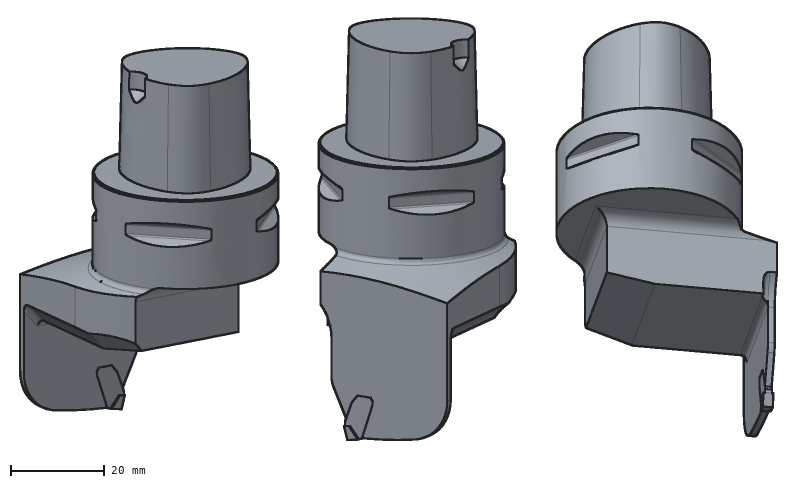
import cadquery as cq
import math


shank_height = 24.0
shank_base_radius = 14.1
shank_top_radius = 13.5
lobe_offset = 0.9
stretch_count = 6
spline_spans = 8

notch_radius = 3.45
notch_y = -13.95
notch_depth = 4.0
notch_tip_height = 3.2

flange_radius = 20.0
flange_height = 20.0
flange_chamfer = 0.3
slot_count = 4
slot_depth = 2.35
slot_floor_width = 2.5
slot_flank_angle = math.radians(30)
slot_fillet = 0.4
slot_z = -8.0

side_x = -26.7
front_y = -25.0
neck_right_x = 10.5
neck_back_y = 6.8
root_radius = 3.0
cone_angle = math.radians(15)
shoulder_z = -20.3
cone_root_radius = 1.3
front_arc_radius = -front_y
front_arc_x = flange_radius - front_arc_radius

underside_front_z = -31.9
underside_mid_y = -22.85
underside_mid_z = -33.85
neck_bottom_y = -20.9
neck_bottom_z = -36.1
underside_tilt = 9.5
underside_turn = 14.0
corner_radius = 1.5

blade_thickness = 1.5
blade_back_y = 4.0
blade_step_top_z = -30.7
blade_step_bottom_z = -37.8
blade_corner_z = -47.6
blade_corner_radius = 10.0
blade_bend_radius = 5.0
blade_tip_y = 0.2
blade_tip_z = -55.6
blade_heel_y = -3.4
blade_heel_z = -59.1
blade_heel_slope = math.radians(11)

insert_head_width = 2.2
insert_bottom_z = -60.0
insert_body_outline = [
    (-2.5, -49.7),
    (-5.8, -49.7),
    (-6.3, -50.5),
    (-6.2, -51.5),
    (-3.6, -59.2),
    (-2.85, -59.5),
    (-0.6, -56.8),
    (0.7, -56.95),
    (0.7, -56.1),
    (-1.1, -51.5),
]
insert_head_outline = [
    (0.7, -56.95),
    (-0.6, -56.8),
    (-2.85, -59.5),
    (-0.2, insert_bottom_z),
]

blade_inner_x = side_x + blade_thickness
margin = 4.2


def lobed_point(radius, angle):
    """Point of a constant-width three-lobed outline where its normal is `angle` from +Y."""
    reach = radius + lobe_offset * math.cos(3 * angle)
    slide = -3 * lobe_offset * math.sin(3 * angle)
    x = -reach * math.sin(angle) - slide * math.cos(angle)
    y = reach * math.cos(angle) - slide * math.sin(angle)
    return x, y


def lobed_wire(radius, z):
    """Closed three-lobed outline at height z, one spline for each stretch."""
    stretch = 2 * math.pi / stretch_count
    edges = []
    for i in range(stretch_count):
        start = stretch * (i + 0.5)
        angles = [start + stretch * j / spline_spans for j in range(spline_spans + 1)]
        points = [cq.Vector(*lobed_point(radius, angle), z) for angle in angles]
        tangents = [cq.Vector(-math.cos(angle), -math.sin(angle), 0) for angle in (angles[0], angles[-1])]
        edges.append(cq.Edge.makeSpline(points, tangents=tangents))
    return cq.Wire.assembleEdges(edges)


def make_shank():
    wires = [lobed_wire(shank_base_radius, 0), lobed_wire(shank_top_radius, shank_height)]
    shank = cq.Workplane(cq.Solid.makeLoft(wires, True))
    floor_z = shank_height - notch_depth
    notch = (
        cq.Workplane("XZ")
        .moveTo(0, shank_height + margin)
        .lineTo(notch_radius, shank_height + margin)
        .lineTo(notch_radius, floor_z)
        .lineTo(0, floor_z - notch_tip_height)
        .close()
        .revolve(360, (0, 0, 0), (0, 1, 0))
        .translate((0, notch_y, 0))
    )
    return shank.cut(notch)


def make_flange():
    flange = cq.Workplane("XY").circle(flange_radius).extrude(-flange_height)
    flange = flange.faces(">Z").chamfer(flange_chamfer)
    half_floor = slot_floor_width / 2
    half_mouth = half_floor + slot_depth * math.tan(slot_flank_angle)
    floor_x = flange_radius - slot_depth
    slot = (
        cq.Workplane("XZ", origin=(0, 0, slot_z))
        .polyline(
            [
                (floor_x, -half_floor),
                (flange_radius, -half_mouth),
                (flange_radius, half_mouth),
                (floor_x, half_floor),
            ]
        )
        .close()
        .extrude(flange_radius, both=True)
        .faces("<X")
        .edges("|Y")
        .fillet(slot_fillet)
    )
    for i in range(slot_count):
        flange = flange.cut(slot.rotate((0, 0, 0), (0, 0, 1), (i + 0.5) * 360 / slot_count))
    return flange


def make_shoulder():
    """Space under the flange bounded above by a cone that is filleted into the flange."""
    arc_x = flange_radius + cone_root_radius
    arc_mid = math.pi + (math.pi / 2 - cone_angle) / 2
    arc_end = math.pi * 1.5 - cone_angle
    mid_point = (
        arc_x + cone_root_radius * math.cos(arc_mid),
        shoulder_z + cone_root_radius * math.sin(arc_mid),
    )
    end_point = (
        arc_x + cone_root_radius * math.cos(arc_end),
        shoulder_z + cone_root_radius * math.sin(arc_end),
    )
    rim_radius = math.hypot(side_x, front_y) + margin
    rim_z = end_point[1] - (rim_radius - end_point[0]) * math.tan(cone_angle)
    return (
        cq.Workplane("XZ")
        .moveTo(0, -flange_height)
        .lineTo(flange_radius, -flange_height)
        .lineTo(flange_radius, shoulder_z)
        .threePointArc(mid_point, end_point)
        .lineTo(rim_radius, rim_z)
        .lineTo(rim_radius, blade_heel_z - margin)
        .lineTo(0, blade_heel_z - margin)
        .close()
        .revolve(360, (0, 0, 0), (0, 1, 0))
    )


def flared_block(plane, near, wall, depth):
    """Block whose far wall flares into the flange underside with a concave radius."""
    bottom_z = neck_bottom_z - margin
    arc_depth = root_radius * (1 - math.sqrt(0.5))
    return (
        cq.Workplane(plane)
        .moveTo(near, -flange_height)
        .lineTo(wall + root_radius, -flange_height)
        .threePointArc(
            (wall + arc_depth, -flange_height - arc_depth),
            (wall, -flange_height - root_radius),
        )
        .lineTo(wall, bottom_z)
        .lineTo(near, bottom_z)
        .close()
        .extrude(depth, both=True)
    )


def make_neck_plan():
    """Outline of the neck from above, rounded by an arc that touches the flange."""
    corner = front_arc_radius * math.sqrt(0.5)
    return (
        cq.Workplane("XY", origin=(0, 0, -flange_height))
        .moveTo(side_x, flange_radius)
        .lineTo(side_x, front_y)
        .lineTo(front_arc_x, front_y)
        .threePointArc((front_arc_x + corner, -corner), (front_arc_x + front_arc_radius, 0))
        .lineTo(flange_radius, flange_radius)
        .close()
        .extrude(blade_heel_z)
    )


def make_undercut():
    """Air under the neck, with the corner radius along the blade."""
    low_z = blade_heel_z - margin
    straight = (
        cq.Workplane("YZ", origin=(blade_inner_x, 0, 0))
        .moveTo(front_y - margin, underside_front_z + margin)
        .lineTo(front_y, underside_front_z)
        .threePointArc((underside_mid_y, underside_mid_z), (neck_bottom_y, neck_bottom_z))
        .lineTo(flange_radius, neck_bottom_z)
        .lineTo(flange_radius, low_z)
        .lineTo(front_y - margin, low_z)
        .close()
        .extrude(2 * flange_radius + margin)
    )
    turned = straight.rotate((0, front_y, 0), (0, front_y, 1), underside_turn)
    tilted = turned.rotate((0, 0, neck_bottom_z), (0, 1, neck_bottom_z), -underside_tilt)
    top_edges = cq.selectors.BoxSelector(
        (blade_inner_x - 0.8, front_y - 2 * margin, neck_bottom_z - 0.8),
        (blade_inner_x + 0.8, 2 * flange_radius, 0),
    )
    return straight.edges(top_edges).fillet(corner_radius).union(tilted)


def make_blade():
    heel_sin = math.sin(blade_heel_slope)
    heel_cos = math.cos(blade_heel_slope)
    corner_end = (
        front_y + blade_corner_radius * (1 - heel_sin),
        blade_corner_z - blade_corner_radius * heel_cos,
    )
    blade = (
        cq.Workplane("YZ", origin=(side_x, 0, 0))
        .moveTo(front_y, underside_front_z)
        .lineTo(front_y, blade_corner_z)
        .tangentArcPoint(corner_end, relative=False)
        .tangentArcPoint((blade_heel_y, blade_heel_z), relative=False)
        .lineTo(blade_tip_y, blade_tip_z)
        .lineTo(blade_back_y, blade_corner_z)
        .lineTo(blade_back_y, underside_front_z)
        .close()
        .extrude(blade_thickness)
    )
    bend = cq.selectors.NearestToPointSelector((side_x, blade_back_y, blade_corner_z))
    return blade.edges("|X").edges(bend).fillet(blade_bend_radius)


def make_blade_step():
    """Air behind the blade, cut into the neck with a rounded inner corner."""
    rise = blade_step_top_z - blade_step_bottom_z
    step_width = neck_back_y - blade_back_y
    arc_radius = (rise**2 + step_width**2) / (2 * step_width)
    half_angle = math.asin(rise / arc_radius) / 2
    arc_mid = (
        blade_back_y + arc_radius * (1 - math.cos(half_angle)),
        blade_step_bottom_z + arc_radius * math.sin(half_angle),
    )
    step = (
        cq.Workplane("YZ", origin=(side_x - margin, 0, 0))
        .moveTo(blade_back_y, neck_bottom_z - 2 * margin)
        .lineTo(blade_back_y, blade_step_bottom_z)
        .threePointArc(arc_mid, (neck_back_y, blade_step_top_z))
        .lineTo(neck_back_y + margin, blade_step_top_z)
        .lineTo(neck_back_y + margin, neck_bottom_z - 2 * margin)
        .close()
        .extrude(margin + blade_thickness + corner_radius)
    )
    inner_edges = step.faces(">X").edges("not(>Z or <Z or >Y)")
    return step.newObject(inner_edges.vals()).fillet(corner_radius)


def make_insert():
    """Body flush with the blade, and a wider cutting head below it."""
    body = (
        cq.Workplane("YZ", origin=(side_x, 0, 0))
        .polyline(insert_body_outline)
        .close()
        .extrude(blade_thickness)
    )
    head = (
        cq.Workplane("YZ", origin=(side_x + blade_thickness / 2, 0, 0))
        .polyline(insert_head_outline)
        .close()
        .extrude(insert_head_width / 2, both=True)
    )
    return body.union(head)


def make_holder(insert):
    across = flared_block("XZ", side_x, neck_right_x, 2 * flange_radius)
    along = flared_block("YZ", front_y, neck_back_y, 2 * flange_radius)
    neck = across.intersect(along).cut(make_undercut())
    body = neck.union(make_blade())
    body = body.intersect(make_neck_plan()).intersect(make_shoulder())
    body = body.cut(make_blade_step())
    return body.union(make_flange()).union(make_shank()).cut(insert)


insert = make_insert()
holder = make_holder(insert)
result = cq.Compound.makeCompound([holder.val(), insert.val()])